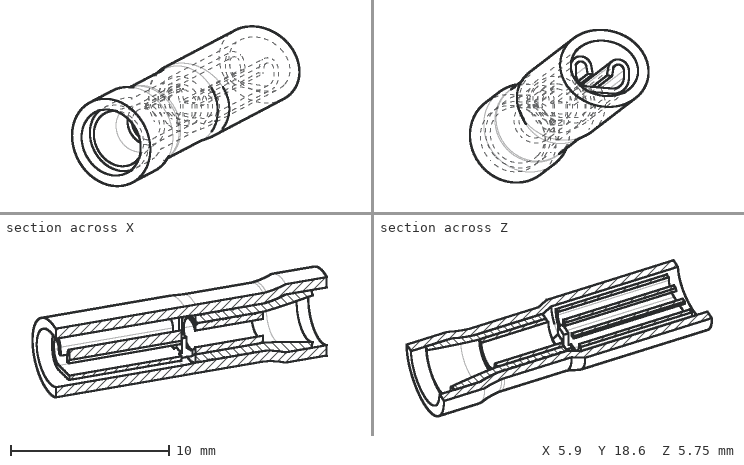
import cadquery as cq
import math


total_length = 18.6
front_y = -total_length / 2
back_y = total_length / 2
collar_end_y = front_y + 2.83
flare_end_y = front_y + 4.15
waist_start_y = front_y + 4.37
waist_end_y = front_y + 9.02
barrel_start_y = waist_start_y
oval_start_y = front_y + 9.78

wall = 0.7
collar_diameter = 5.75
collar_radius = collar_diameter / 2
waist_radius = 2.55
blend_rise = 0.013
oval_width = 5.9
oval_half_width = oval_width / 2
oval_half_height = 2.51

rim_radius = collar_radius - wall
rim_depth = 1.05
mouth_depth = 0.95
mouth_radius = 1.82
throat_depth = 3.16
throat_radius = 1.49

sheet = 0.33
barrel_radius = 1.35
seam_gap = 0.05
strip_width = 0.87
stop_offset = 0.4
ramp_rise = 0.32
receptacle_gap = 0.93
receptacle_setback = 0.93
floor_half_width = 0.82
corner_radius = 1.12
curl_radius = 0.69
curl_center_z = 0.22
tip_z = -0.2
tip_lean = 10.0

strip_bottom_z = -barrel_radius
strip_top_z = strip_bottom_z + sheet


def plane_at(y):
    """Plane across the axis at `y`, with local x along X and local y along Z."""
    return cq.Plane(origin=(0, y, 0), xDir=(1, 0, 0), normal=(0, -1, 0))


def housing_form(inset):
    """Solid shape of the housing, shrunk radially by `inset`."""
    waist = waist_radius - inset
    round_part = (
        cq.Workplane("XY")
        .moveTo(0, waist_end_y)
        .lineTo(-waist, waist_end_y)
        .lineTo(-waist, waist_start_y)
        .tangentArcPoint((-waist - blend_rise, flare_end_y), relative=False)
        .tangentArcPoint((inset - collar_radius, collar_end_y), relative=False)
        .lineTo(inset - collar_radius, front_y)
        .lineTo(0, front_y)
        .close()
        .revolve(360, (0, 0), (0, 1))
    )
    half_width = oval_half_width - inset
    half_height = oval_half_height - inset
    transition = (
        cq.Workplane(plane_at(waist_end_y))
        .circle(waist)
        .workplane(offset=waist_end_y - oval_start_y)
        .ellipse(half_width, half_height)
        .loft()
    )
    oval_part = (
        cq.Workplane(plane_at(oval_start_y))
        .ellipse(half_width, half_height)
        .extrude(oval_start_y - back_y)
    )
    return round_part.union(transition).union(oval_part)


def make_housing():
    return housing_form(0).cut(housing_form(wall))


def make_sleeve():
    """Crimp sleeve that fills the housing bore around the barrel and opens to a funnel at the front."""
    funnel = (
        cq.Workplane("YZ")
        .moveTo(front_y, 0)
        .lineTo(front_y, -rim_radius)
        .lineTo(front_y + rim_depth, -rim_radius)
        .lineTo(front_y + mouth_depth, -mouth_radius)
        .lineTo(front_y + throat_depth, -throat_radius)
        .lineTo(barrel_start_y, -barrel_radius)
        .lineTo(waist_end_y, -barrel_radius)
        .lineTo(waist_end_y, 0)
        .close()
        .revolve(360, (0, 0), (1, 0))
    )
    bore_length = waist_end_y - front_y
    bore_zone = cq.Workplane(plane_at(front_y)).circle(collar_radius).extrude(-bore_length)
    return housing_form(wall).intersect(bore_zone).cut(funnel)


def make_barrel():
    """Rolled barrel with an open seam along its top."""
    length = waist_end_y - barrel_start_y
    tube = (
        cq.Workplane(plane_at(barrel_start_y))
        .circle(barrel_radius)
        .circle(barrel_radius - sheet)
        .extrude(-length)
    )
    seam = (
        cq.Workplane(plane_at(barrel_start_y))
        .center(0, barrel_radius)
        .rect(seam_gap, 2 * barrel_radius)
        .extrude(-length)
    )
    return tube.cut(seam)


def make_strip():
    """Strip that joins barrel and receptacle, with a ramp and an upright wire stop."""
    stop_y = waist_end_y + stop_offset
    end_y = waist_end_y + receptacle_gap
    return (
        cq.Workplane("YZ")
        .moveTo(waist_end_y, strip_bottom_z)
        .lineTo(end_y, strip_bottom_z)
        .lineTo(end_y, strip_top_z)
        .lineTo(stop_y + sheet, strip_top_z)
        .lineTo(stop_y + sheet, 0)
        .lineTo(stop_y, 0)
        .lineTo(stop_y, strip_top_z + ramp_rise)
        .lineTo(waist_end_y, strip_top_z)
        .close()
        .extrude(strip_width / 2, both=True)
    )


def make_receptacle_half():
    """Right half of the receptacle: floor, side wall and curled-over edge of constant thickness."""
    side_x = floor_half_width + corner_radius
    corner_z = strip_bottom_z + corner_radius
    curl_x = side_x - curl_radius
    lean = math.radians(tip_lean)
    curl_end_angle = math.pi - lean
    curl_middle_angle = curl_end_angle / 2
    corner_middle_angle = -math.pi / 4

    def on_arc(center_x, center_z, radius, angle):
        return (center_x + radius * math.cos(angle), center_z + radius * math.sin(angle))

    def tip(radius):
        tangent_x, tangent_z = on_arc(curl_x, curl_center_z, radius, curl_end_angle)
        return (tangent_x - (tangent_z - tip_z) * math.tan(lean), tip_z)

    start_y = waist_end_y + receptacle_gap
    inner_curl = curl_radius - sheet
    inner_corner = corner_radius - sheet
    outer_tangent = on_arc(curl_x, curl_center_z, curl_radius, curl_end_angle)
    inner_tangent = on_arc(curl_x, curl_center_z, inner_curl, curl_end_angle)
    length = back_y - receptacle_setback - start_y
    return (
        cq.Workplane(plane_at(start_y))
        .moveTo(0, strip_bottom_z)
        .lineTo(floor_half_width, strip_bottom_z)
        .threePointArc(
            on_arc(floor_half_width, corner_z, corner_radius, corner_middle_angle),
            (side_x, corner_z),
        )
        .lineTo(side_x, curl_center_z)
        .threePointArc(
            on_arc(curl_x, curl_center_z, curl_radius, curl_middle_angle),
            outer_tangent,
        )
        .lineTo(*tip(curl_radius))
        .lineTo(*tip(inner_curl))
        .lineTo(*inner_tangent)
        .threePointArc(
            on_arc(curl_x, curl_center_z, inner_curl, curl_middle_angle),
            (side_x - sheet, curl_center_z),
        )
        .lineTo(side_x - sheet, corner_z)
        .threePointArc(
            on_arc(floor_half_width, corner_z, inner_corner, corner_middle_angle),
            (floor_half_width, strip_top_z),
        )
        .lineTo(0, strip_top_z)
        .close()
        .extrude(-length)
    )


def make_contact():
    half = make_receptacle_half()
    receptacle = half.union(half.mirror("YZ"))
    return make_barrel().union(make_strip()).union(receptacle)


housing = make_housing()
sleeve = make_sleeve()
contact = make_contact()

result = cq.Compound.makeCompound([housing.val(), sleeve.val(), contact.val()])